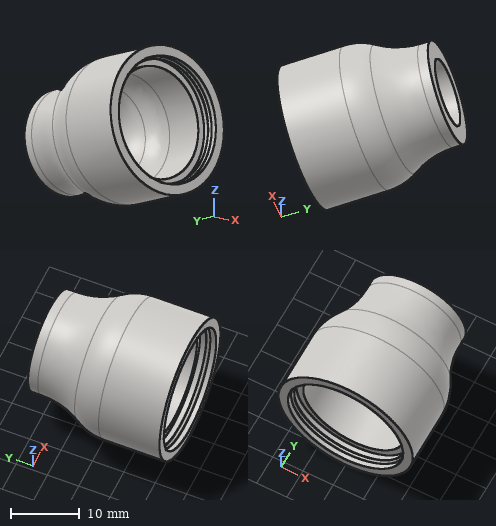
import cadquery as cq
import math

length = 22.35

body_radius = 11.13
body_length = 9.72
neck_radius = 8.0
neck_length = 1.59
outer_meeting_radius = 9.9

bore_radius = 8.38
bore_end = 8.85
throat_radius = 5.15
throat_start = 16.87
inner_meeting_radius = 6.9

socket_radius = 9.52
socket_depth = 2.57
bead_start = 0.94
bead_radius = 0.31

neck_start = length - neck_length


def s_curve_points(wide_radius, wide_depth, narrow_radius, narrow_depth, meeting_radius):
    """Points for two arcs that run parallel to the axis at their outer ends.

    The arcs are tangent where they meet, which puts the meeting point on the
    straight line between the ends and makes both arcs turn by the same angle.
    Returns the middle of the wide arc, the meeting point, the middle of the
    narrow arc and the narrow end.
    """
    slope = (wide_radius - narrow_radius) / (narrow_depth - wide_depth)
    meeting_depth = wide_depth + (wide_radius - meeting_radius) / slope
    half_turn = math.atan(slope)
    mid_slope = math.tan(half_turn / 2)
    half_share = math.sin(half_turn) / math.sin(2 * half_turn)
    wide_mid_step = (meeting_depth - wide_depth) * half_share
    narrow_mid_step = (narrow_depth - meeting_depth) * half_share
    return (
        (wide_radius - mid_slope * wide_mid_step, wide_depth + wide_mid_step),
        (meeting_radius, meeting_depth),
        (narrow_radius + mid_slope * narrow_mid_step, narrow_depth - narrow_mid_step),
        (narrow_radius, narrow_depth),
    )


def revolve_about_y(profile):
    """Turn a closed (radius, depth) profile and centre the length on the origin."""
    turned = profile.close().revolve(360, (0, 0, 0), (0, 1, 0))
    return turned.translate((0, -length / 2, 0))


def make_outside():
    wide_mid, meeting, narrow_mid, neck_edge = s_curve_points(
        body_radius, body_length, neck_radius, neck_start, outer_meeting_radius
    )
    return revolve_about_y(
        cq.Workplane("XY")
        .lineTo(body_radius, 0)
        .lineTo(body_radius, body_length)
        .threePointArc(wide_mid, meeting)
        .threePointArc(narrow_mid, neck_edge)
        .lineTo(neck_radius, length)
        .lineTo(0, length)
    )


def make_bore():
    wide_mid, meeting, narrow_mid, throat_edge = s_curve_points(
        bore_radius, bore_end, throat_radius, throat_start, inner_meeting_radius
    )
    bead_crest = (socket_radius - bead_radius, bead_start + bead_radius)
    return revolve_about_y(
        cq.Workplane("XY")
        .lineTo(socket_radius, 0)
        .lineTo(socket_radius, bead_start)
        .threePointArc(bead_crest, (socket_radius, bead_start + 2 * bead_radius))
        .lineTo(socket_radius, socket_depth)
        .lineTo(bore_radius, socket_depth)
        .lineTo(bore_radius, bore_end)
        .threePointArc(wide_mid, meeting)
        .threePointArc(narrow_mid, throat_edge)
        .lineTo(throat_radius, length)
        .lineTo(0, length)
    )


result = make_outside().cut(make_bore())